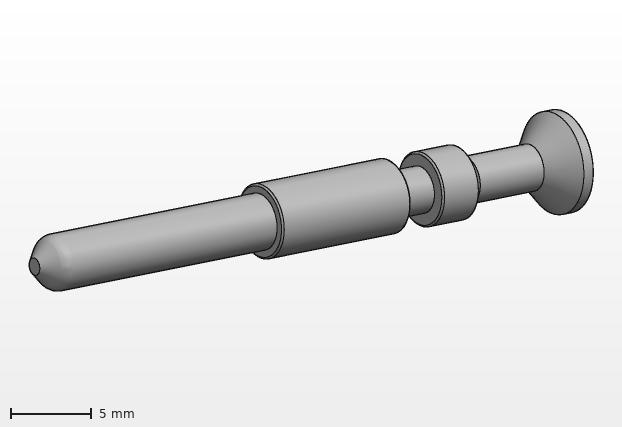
import cadquery as cq
import math

total_length = 40.9
sleeve_start = 17.45
sleeve_end = 27.45
collar_start = 29.9
collar_end = 32.65
cone_end = 33.45
head_height = 2.5

head_diameter = 6.5
sleeve_diameter = 4.75
rod_diameter = 3.6
neck_diameter = 3.0
tip_diameter = 1.1

edge_chamfer = 0.12
nose_radius = 1.02
nose_angle = math.radians(45)

tip_y = -total_length / 2


def revolve_about_y(profile):
    """Turn a closed half profile about the Y axis."""
    return profile.close().revolve(360, (0, 0, 0), (0, 1, 0))


def make_contact_rod():
    """Plain rod with a rounded shoulder that runs smoothly into a blunt 45 degree cone."""
    rod_radius = rod_diameter / 2
    tip_radius = tip_diameter / 2
    arc_centre_radius = rod_radius - nose_radius
    cone_radius = arc_centre_radius + nose_radius * math.cos(nose_angle)
    cone_y = tip_y + (cone_radius - tip_radius) / math.tan(nose_angle)
    arc_y = cone_y + nose_radius * math.sin(nose_angle)
    mid_radius = arc_centre_radius + nose_radius * math.cos(nose_angle / 2)
    mid_y = arc_y - nose_radius * math.sin(nose_angle / 2)
    profile = (
        cq.Workplane("XY")
        .moveTo(0, tip_y)
        .lineTo(tip_radius, tip_y)
        .lineTo(cone_radius, cone_y)
        .threePointArc((mid_radius, mid_y), (rod_radius, arc_y))
        .lineTo(rod_radius, tip_y + sleeve_start)
        .lineTo(0, tip_y + sleeve_start)
    )
    return revolve_about_y(profile)


def make_shank():
    """Sleeve, collar and flared head joined by two necks of equal diameter."""
    head_radius = head_diameter / 2
    sleeve_radius = sleeve_diameter / 2
    neck_radius = neck_diameter / 2
    chamfered_radius = sleeve_radius - edge_chamfer
    head_y = tip_y + total_length
    flare_y = head_y - head_height
    rim_y = flare_y + (head_radius - neck_radius)
    profile = (
        cq.Workplane("XY")
        .moveTo(0, tip_y + sleeve_start)
        .lineTo(chamfered_radius, tip_y + sleeve_start)
        .lineTo(sleeve_radius, tip_y + sleeve_start + edge_chamfer)
        .lineTo(sleeve_radius, tip_y + sleeve_end - edge_chamfer)
        .lineTo(chamfered_radius, tip_y + sleeve_end)
        .lineTo(neck_radius, tip_y + sleeve_end)
        .lineTo(neck_radius, tip_y + collar_start)
        .lineTo(chamfered_radius, tip_y + collar_start)
        .lineTo(sleeve_radius, tip_y + collar_start + edge_chamfer)
        .lineTo(sleeve_radius, tip_y + collar_end)
        .lineTo(neck_radius, tip_y + cone_end)
        .lineTo(neck_radius, flare_y)
        .lineTo(head_radius, rim_y)
        .lineTo(head_radius, head_y)
        .lineTo(0, head_y)
    )
    return revolve_about_y(profile)


contact_rod = make_contact_rod()
shank = make_shank()

result = cq.Compound.makeCompound([contact_rod.val(), shank.val()])